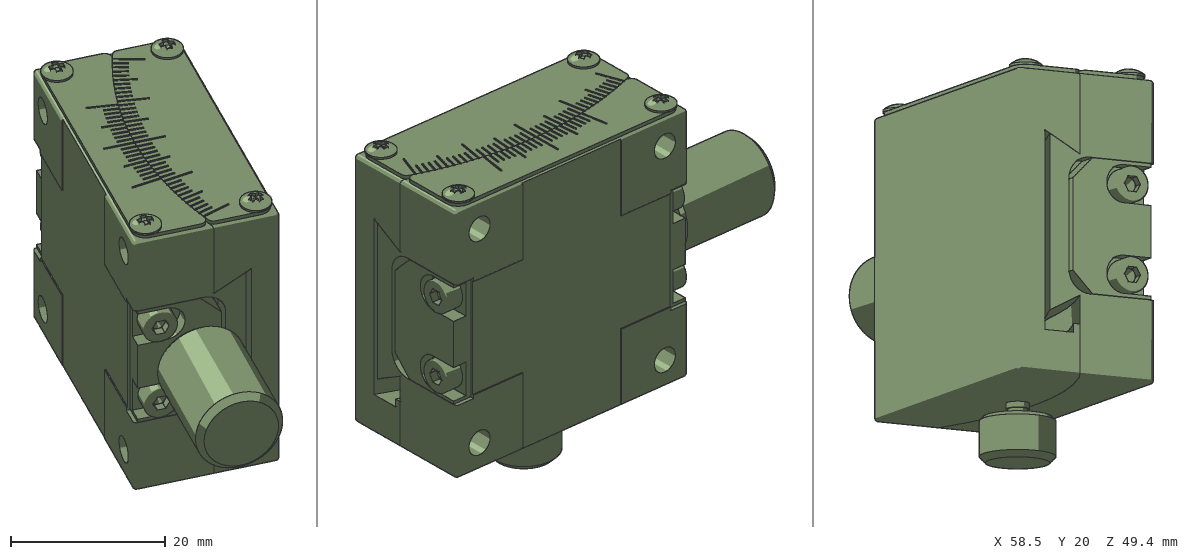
import cadquery as cq
import math

WIDTH = 40.0
DEPTH = 20.0
EDGE_ROUND = 0.5
HALF = WIDTH / 2

SWING_RADIUS = 52.65
SWING_AXIS_Y = 59.65

TONGUE_TOP_RADIUS = 48.6
SLOT_FLOOR_RADIUS = 47.95
NECK_HALF_HEIGHT = 9.3
FLANK_SLOPE = 0.58
SLOT_BOTTOM_Z = -14.3
LIP_Z = -13.1
LIP_RADIUS = 51.85

CROSS_WIDTH = 16.95
CROSS_DEPTH = 0.2
MOUNT_PITCH = 32.0
MOUNT_DIAMETER = 3.6

POCKET_HEIGHT = 18.0
PLATE_CLEARANCE = 0.05
PLATE_HEIGHT = POCKET_HEIGHT - 2 * PLATE_CLEARANCE
PLATE_THICKNESS = 3.0
PLATE_FRONT_Y = 0.5
PLATE_BACK_Y = 12.0
PLATE_CHAMFER = 2.85
POCKET_BACK_Y = 12.6
POCKET_ROUND = 3.1

CAP_Y = 3.5
CAP_Z = 5.95
CAP_RADIUS = 2.35
CAP_LENGTH = 2.6
CAP_RIM_ROUND = 0.1
CAP_SOCKET_CORNERS = 2.35
CAP_SOCKET_DEPTH = 1.15
CAP_POINT_DEPTH = 0.6
CAP_SHANK_RADIUS = 1.2
CAP_SLOT_RADIUS = 2.5
CAP_SLOT_Y = 4.5
CAP_SLOT_DEPTH = 2.1
RAISED_CAP_GAP = 0.35

SCALE_THICKNESS = 0.5
SCALE_CORNER_ROUND = 2.0
SCALE_END_ROUND = 1.0
PAN_PITCH_X = 35.0
PAN_PITCH_Y = 15.1
PAN_RADIUS = 2.1
PAN_RIM_HEIGHT = 0.3
PAN_HEIGHT = 1.1
PAN_CROSS_LENGTH = 2.0
PAN_CROSS_WIDTH = 0.75
PAN_CROSS_DEPTH = 0.6
PAN_POINT_DEPTH = 0.25
TURNED_PAN_ANGLE = 30.0

TICK_WIDTH = 0.2
TICK_DEPTH = 0.1
TICK_LENGTH = 2.1
FIFTH_TICK_LENGTH = 3.15
TENTH_TICK_LENGTH = 4.2
MAIN_TICKS = 20
MAIN_STEP = 1.0
VERNIER_TICKS = 10
VERNIER_STEP = 0.92

KNOB_Y = 8.5
KNOB_RADIUS = 5.95
KNOB_START_X = 21.65
KNOB_END_X = 38.0
KNOB_INNER_CHAMFER = 0.5
KNOB_OUTER_CHAMFER = 0.9
COLLAR_RADIUS = 4.1
COLLAR_START_X = 20.55
DRIVE_NECK_RADIUS = 3.4

THUMB_Y = 9.5
THUMB_RADIUS = 5.0
THUMB_TOP_Z = -21.8
THUMB_BOTTOM_Z = -27.85
THUMB_TOP_CHAMFER = 0.5
THUMB_BOTTOM_CHAMFER = 0.8
BOSS_RADIUS = 1.5
BOSS_BOTTOM_Z = -20.75
THUMB_NECK_RADIUS = 1.3

SCALE_TOP_Z = HALF + SCALE_THICKNESS


def box(x0, x1, y0, y1, z0, z1):
    """Box between the given limits."""
    return cq.Workplane("XY").box(x1 - x0, y1 - y0, z1 - z0, centered=False).translate((x0, y0, z0))


def cylinder_x(radius, y, z, x0, x1):
    """Cylinder along X between x0 and x1."""
    return cq.Workplane("YZ", origin=(x0, y, z)).circle(radius).extrude(x1 - x0)


def cylinder_z(radius, x, y, z0, z1):
    """Cylinder along Z between z0 and z1."""
    return cq.Workplane("XY", origin=(x, y, z0)).circle(radius).extrude(z1 - z0)


def swing_ring(profile):
    """Ring about the swing axis from a closed (radius, z) profile."""
    return (
        cq.Workplane("XZ", origin=(0, SWING_AXIS_Y, 0))
        .polyline(profile).close()
        .revolve(360, (0, 0, 0), (0, 1, 0))
    )


def flank_height(radius):
    """Half height of the dovetail at a radius."""
    return NECK_HALF_HEIGHT + FLANK_SLOPE * (SWING_RADIUS - radius)


def swing_cylinder():
    return cylinder_z(SWING_RADIUS, 0, SWING_AXIS_Y, -WIDTH, WIDTH)


def stage_block():
    return box(-HALF, HALF, 0, DEPTH, -HALF, HALF).edges().fillet(EDGE_ROUND)


def dovetail_tongue():
    top = flank_height(TONGUE_TOP_RADIUS)
    ring = swing_ring([
        (SWING_RADIUS, -NECK_HALF_HEIGHT),
        (SWING_RADIUS, NECK_HALF_HEIGHT),
        (TONGUE_TOP_RADIUS, top),
        (TONGUE_TOP_RADIUS, -top),
    ])
    return ring.intersect(box(-HALF, HALF, 0, DEPTH, -HALF, HALF))


def dovetail_slot():
    return swing_ring([
        (SLOT_FLOOR_RADIUS, SLOT_BOTTOM_Z),
        (LIP_RADIUS, SLOT_BOTTOM_Z),
        (LIP_RADIUS, LIP_Z),
        (SWING_RADIUS, LIP_Z),
        (SWING_RADIUS, NECK_HALF_HEIGHT),
        (SLOT_FLOOR_RADIUS, flank_height(SLOT_FLOOR_RADIUS)),
    ])


def cross_recess():
    """Shallow cross over the whole front face that leaves four corner pads."""
    upright = box(-CROSS_WIDTH / 2, CROSS_WIDTH / 2, 0, CROSS_DEPTH, -HALF, HALF)
    bar = box(-HALF, HALF, 0, CROSS_DEPTH, -CROSS_WIDTH / 2, CROSS_WIDTH / 2)
    return upright.union(bar)


def mount_holes():
    """Four holes from the front pads through to the sliding surface."""
    return (
        cq.Workplane("XZ")
        .rect(MOUNT_PITCH, MOUNT_PITCH, forConstruction=True).vertices()
        .circle(MOUNT_DIAMETER / 2).extrude(-DEPTH)
    )


def clamp_pocket():
    """Pocket for the clamp plate on the +X end."""
    pocket = box(HALF - PLATE_THICKNESS, HALF, 0, POCKET_BACK_Y, -POCKET_HEIGHT / 2, POCKET_HEIGHT / 2)
    return pocket.edges("|X and >Y").fillet(POCKET_ROUND)


def clamp_plate():
    """Clamp plate on the +X end with its two open screw slots."""
    plate = box(
        HALF - PLATE_THICKNESS, HALF, PLATE_FRONT_Y, PLATE_BACK_Y, -PLATE_HEIGHT / 2, PLATE_HEIGHT / 2
    ).edges("|X and >Y").chamfer(PLATE_CHAMFER)
    for z in (-CAP_Z, CAP_Z):
        round_end = cylinder_x(CAP_SLOT_RADIUS, CAP_SLOT_Y, z, HALF - CAP_SLOT_DEPTH, HALF)
        mouth = box(
            HALF - CAP_SLOT_DEPTH, HALF, 0, CAP_SLOT_Y, z - CAP_SLOT_RADIUS, z + CAP_SLOT_RADIUS
        )
        plate = plate.cut(round_end).cut(mouth)
    return plate


def cap_screw(z, gap):
    """Socket-head screw on the +X end, its head standing off the slot floor by a gap."""
    seat_x = HALF - CAP_SLOT_DEPTH
    head_x = seat_x + gap
    end_x = head_x + CAP_LENGTH
    head = cylinder_x(CAP_RADIUS, CAP_Y, z, head_x, end_x).faces(">X").edges().fillet(CAP_RIM_ROUND)
    socket = (
        cq.Workplane("YZ", origin=(end_x, CAP_Y, z))
        .polygon(6, CAP_SOCKET_CORNERS).extrude(-CAP_SOCKET_DEPTH)
    )
    point_radius = CAP_SOCKET_CORNERS / 2 * math.cos(math.pi / 6)
    point = cq.Workplane(cq.Solid.makeCone(
        point_radius, 0, CAP_POINT_DEPTH,
        pnt=cq.Vector(end_x - CAP_SOCKET_DEPTH, CAP_Y, z), dir=cq.Vector(-1, 0, 0),
    ))
    shank = cylinder_x(CAP_SHANK_RADIUS, CAP_Y, z, HALF - PLATE_THICKNESS, head_x)
    return head.union(shank).cut(socket).cut(point)


def clamp(lower_gap):
    """Clamp plate with both cap screws, on the +X end."""
    return clamp_plate().union(cap_screw(CAP_Z, 0)).union(cap_screw(-CAP_Z, lower_gap))


def drive_knob():
    neck = cylinder_x(DRIVE_NECK_RADIUS, KNOB_Y, 0, HALF, COLLAR_START_X)
    collar = cylinder_x(COLLAR_RADIUS, KNOB_Y, 0, COLLAR_START_X, KNOB_START_X)
    grip = (
        cylinder_x(KNOB_RADIUS, KNOB_Y, 0, KNOB_START_X, KNOB_END_X)
        .faces("<X").edges().chamfer(KNOB_INNER_CHAMFER)
        .faces(">X").edges().chamfer(KNOB_OUTER_CHAMFER)
    )
    return neck.union(collar).union(grip)


def thumb_screw():
    boss = cylinder_z(BOSS_RADIUS, 0, THUMB_Y, BOSS_BOTTOM_Z, -HALF)
    neck = cylinder_z(THUMB_NECK_RADIUS, 0, THUMB_Y, THUMB_TOP_Z, BOSS_BOTTOM_Z)
    grip = (
        cylinder_z(THUMB_RADIUS, 0, THUMB_Y, THUMB_BOTTOM_Z, THUMB_TOP_Z)
        .faces(">Z").edges().chamfer(THUMB_TOP_CHAMFER)
        .faces("<Z").edges().chamfer(THUMB_BOTTOM_CHAMFER)
    )
    return boss.union(neck).union(grip)


def scale_blank():
    """Rounded plate over the whole top, before it is split in two."""
    return box(
        EDGE_ROUND - HALF, HALF - EDGE_ROUND, EDGE_ROUND, DEPTH - EDGE_ROUND, HALF, SCALE_TOP_Z
    ).edges("|Z").fillet(SCALE_CORNER_ROUND)


def round_scale_ends(plate):
    """Round the two corners where the sliding surface meets the plate ends."""
    end_x = HALF - EDGE_ROUND
    corner_y = SWING_AXIS_Y - math.sqrt(SWING_RADIUS**2 - end_x**2)
    for x in (-end_x, end_x):
        corner = cq.Vector(x, corner_y, HALF + SCALE_THICKNESS / 2)
        plate = plate.edges(cq.selectors.NearestToPointSelector(corner)).fillet(SCALE_END_ROUND)
    return plate


def tick_grooves(count, step, direction):
    """Radial grooves from the sliding surface: direction 1 toward the swing axis, -1 away from it."""
    grooves = cq.Workplane("XY")
    for i in range(-count, count + 1):
        length = TICK_LENGTH
        if i % 5 == 0:
            length = FIFTH_TICK_LENGTH
        if i % 10 == 0:
            length = TENTH_TICK_LENGTH
        groove = (
            cq.Workplane("XY")
            .box(TICK_WIDTH, length, TICK_DEPTH)
            .translate((0, direction * length / 2 - SWING_RADIUS, SCALE_TOP_Z - TICK_DEPTH / 2))
            .rotate((0, 0, 0), (0, 0, 1), i * step)
            .translate((0, SWING_AXIS_Y, 0))
        )
        grooves.add(groove)
    return grooves.combine()


def pan_screw(x, y, angle):
    """Domed screw head with a cross recess, on the scale plate."""
    dome_height = PAN_HEIGHT - PAN_RIM_HEIGHT
    dome_radius = (PAN_RADIUS**2 + dome_height**2) / (2 * dome_height)
    middle_x = PAN_RADIUS / 2
    middle_z = PAN_HEIGHT - dome_radius + math.sqrt(dome_radius**2 - middle_x**2)
    head = (
        cq.Workplane("XZ")
        .lineTo(PAN_RADIUS, 0).lineTo(PAN_RADIUS, PAN_RIM_HEIGHT)
        .threePointArc((middle_x, middle_z), (0, PAN_HEIGHT)).close()
        .revolve(360, (0, 0, 0), (0, 1, 0))
    )
    arm = cq.Workplane("XY").box(PAN_CROSS_LENGTH, PAN_CROSS_WIDTH, 2 * PAN_CROSS_DEPTH)
    cross = arm.union(arm.rotate((0, 0, 0), (0, 0, 1), 90)).translate((0, 0, PAN_HEIGHT))
    point = cq.Workplane(cq.Solid.makeCone(
        PAN_CROSS_WIDTH / 2, 0, PAN_POINT_DEPTH,
        pnt=cq.Vector(0, 0, PAN_HEIGHT - PAN_CROSS_DEPTH), dir=cq.Vector(0, 0, -1),
    ))
    return head.cut(cross).cut(point).rotate((0, 0, 0), (0, 0, 1), angle).translate((x, y, SCALE_TOP_Z))


def pan_pair(y, right_angle):
    """The two screws that hold one scale plate."""
    left = pan_screw(-PAN_PITCH_X / 2, y, 0)
    return left.union(pan_screw(PAN_PITCH_X / 2, y, right_angle))


def make_base():
    """Front half: dovetail tongue, end clamps, drive knob and vernier plate."""
    base = stage_block().cut(swing_cylinder()).union(dovetail_tongue())
    base = base.cut(cross_recess()).cut(mount_holes())
    base = base.cut(clamp_pocket()).cut(clamp_pocket().mirror("YZ"))
    base = base.union(clamp(RAISED_CAP_GAP)).union(clamp(0).mirror("YZ"))
    base = base.union(drive_knob())
    vernier = round_scale_ends(scale_blank().cut(swing_cylinder()))
    vernier = vernier.cut(tick_grooves(VERNIER_TICKS, VERNIER_STEP, -1))
    return base.union(vernier).union(pan_pair((DEPTH - PAN_PITCH_Y) / 2, 0))


def make_slide():
    """Back half: dovetail slot, thumb screw and main scale plate."""
    slide = stage_block().intersect(swing_cylinder()).cut(dovetail_slot())
    slide = slide.union(thumb_screw())
    scale = round_scale_ends(scale_blank().intersect(swing_cylinder()))
    scale = scale.cut(tick_grooves(MAIN_TICKS, MAIN_STEP, 1))
    return slide.union(scale).union(pan_pair((DEPTH + PAN_PITCH_Y) / 2, TURNED_PAN_ANGLE))


base = make_base()
slide = make_slide()
result = cq.Compound.makeCompound([base.solids().val(), slide.solids().val()])